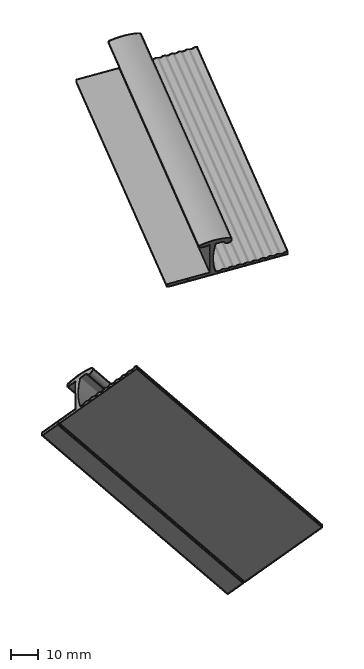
import cadquery as cq
import math

length = 100.0
depth = 46.5
height = 20.0

base_thickness = 1.8
base_corner_radius = 0.5
base_rear_radius = 0.4
notch_y = 8.2
notch_width = 0.8
notch_depth = 0.6

ripple_pitch = 3.0
ripple_depth = 0.5
crest_count = 9
first_crest_y = 21.7

web_front_y = 16.5
web_end_thickness = 2.3
web_waist_thickness = 1.3
web_foot_radius = 1.0
web_head_radius = 0.6

cap_front_y = 12.4
cap_underside_z = 17.7
cap_tip_radius = 0.6
crown_y = 18.1
crown_radius = 20.0
hook_y = 23.5
hook_radius = 1.5
hook_throat_radius = 0.8

crown_center_z = height - crown_radius
hook_reach = crown_radius - hook_radius
hook_z = crown_center_z + math.sqrt(hook_reach**2 - (hook_y - crown_y) ** 2)
hook_inner_y = hook_y - math.sqrt(hook_radius**2 - (cap_underside_z - hook_z) ** 2)
trough_z = base_thickness - ripple_depth
web_rear_y = web_front_y + web_end_thickness


def profile_plane():
    return cq.Workplane("YZ").workplane(offset=-length / 2)


def crown_z(y):
    """Height of the crown arc at a given Y."""
    return crown_center_z + math.sqrt(crown_radius**2 - (y - crown_y) ** 2)


def make_base():
    """Plate with a rippled top behind the web and a V notch below."""
    last_crest_y = first_crest_y + (crest_count - 1) * ripple_pitch
    mid_z = base_thickness - ripple_depth / 2
    quarter = ripple_pitch / 4
    outline = (
        profile_plane()
        .moveTo(0, 0)
        .lineTo(notch_y - notch_width / 2, 0)
        .lineTo(notch_y, notch_depth)
        .lineTo(notch_y + notch_width / 2, 0)
        .lineTo(depth, 0)
        .lineTo(depth, base_thickness)
        .lineTo(last_crest_y, base_thickness)
    )
    for i in range(crest_count):
        crest_y = last_crest_y - i * ripple_pitch
        outline = outline.tangentArcPoint((crest_y - quarter, mid_z), relative=False)
        outline = outline.tangentArcPoint((crest_y - 2 * quarter, trough_z), relative=False)
        if i < crest_count - 1:
            outline = outline.tangentArcPoint((crest_y - 3 * quarter, mid_z), relative=False)
            outline = outline.tangentArcPoint((crest_y - ripple_pitch, base_thickness), relative=False)
    return (
        outline.lineTo(web_front_y, trough_z)
        .lineTo(web_front_y, base_thickness)
        .lineTo(0, base_thickness)
        .close()
        .extrude(length)
    )


def make_web():
    """Upright with a flat front and a concave rear face."""
    middle_z = (trough_z + cap_underside_z) / 2
    return (
        profile_plane()
        .moveTo(web_front_y, trough_z)
        .lineTo(web_rear_y, trough_z)
        .threePointArc((web_front_y + web_waist_thickness, middle_z), (web_rear_y, cap_underside_z))
        .lineTo(web_front_y, cap_underside_z)
        .close()
        .extrude(length)
    )


def make_cap():
    """Crowned top whose rear edge curls down into a round hook."""
    tangent_scale = crown_radius / hook_reach
    tangent_y = crown_y + (hook_y - crown_y) * tangent_scale
    hook_bottom = (hook_y, hook_z - hook_radius)
    return (
        profile_plane()
        .moveTo(cap_front_y, cap_underside_z)
        .lineTo(cap_front_y, crown_z(cap_front_y))
        .threePointArc(((cap_front_y + crown_y) / 2, crown_z((cap_front_y + crown_y) / 2)), (crown_y, height))
        .threePointArc(
            ((crown_y + tangent_y) / 2, crown_z((crown_y + tangent_y) / 2)),
            (tangent_y, crown_z(tangent_y)),
        )
        .threePointArc(hook_bottom, (hook_inner_y, cap_underside_z))
        .close()
        .extrude(length)
    )


def fillet_corner(body, y, z, radius):
    """Round the lengthwise edge nearest to a profile point."""
    return body.edges("|X").edges(cq.selectors.NearestToPointSelector((0, y, z))).fillet(radius)


result = make_base().union(make_web()).union(make_cap())

rounded_corners = [
    (0, 0, base_corner_radius),
    (0, base_thickness, base_corner_radius),
    (depth, base_thickness, base_rear_radius),
    (web_rear_y, trough_z, web_foot_radius),
    (web_rear_y, cap_underside_z, web_head_radius),
    (hook_inner_y, cap_underside_z, hook_throat_radius),
    (cap_front_y, cap_underside_z, cap_tip_radius),
    (cap_front_y, crown_z(cap_front_y), cap_tip_radius),
]
for corner_y, corner_z, corner_radius in rounded_corners:
    result = fillet_corner(result, corner_y, corner_z, corner_radius)